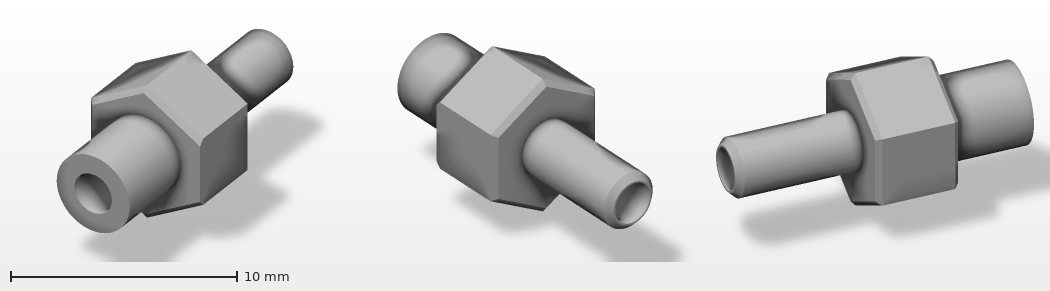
import cadquery as cq
import math

total_length = 14.0
hex_length = 4.0
stem_length = 6.0
spigot_length = total_length - hex_length - stem_length
front_y = -total_length / 2
hex_front_y = front_y + spigot_length
hex_back_y = hex_front_y + hex_length

hex_across_flats = 6.0
hex_across_corners = hex_across_flats / math.cos(math.pi / 6)
spigot_diameter = 3.9
stem_diameter = 2.8
bore_diameter = 2.0

hex_chamfer = 0.25
stem_chamfer = 0.31


def section_at(y):
    """Workplane across the axis at the given Y, extruding toward +Y."""
    return cq.Workplane(cq.Plane(origin=(0, y, 0), xDir=(0, 0, 1), normal=(0, 1, 0)))


def cylinder(start_y, length, diameter):
    return section_at(start_y).circle(diameter / 2).extrude(length)


hex_body = (
    section_at(hex_front_y)
    .polygon(6, hex_across_corners)
    .extrude(hex_length)
    .faces(">Y")
    .edges()
    .chamfer(hex_chamfer)
    .faces("<Y")
    .edges("not >X")
    .chamfer(hex_chamfer)
)

spigot = cylinder(front_y, spigot_length, spigot_diameter)
stem = cylinder(hex_back_y, stem_length, stem_diameter).faces(">Y").edges().chamfer(stem_chamfer)

bore = cylinder(front_y, total_length, bore_diameter)

result = hex_body.union(spigot).union(stem).cut(bore)